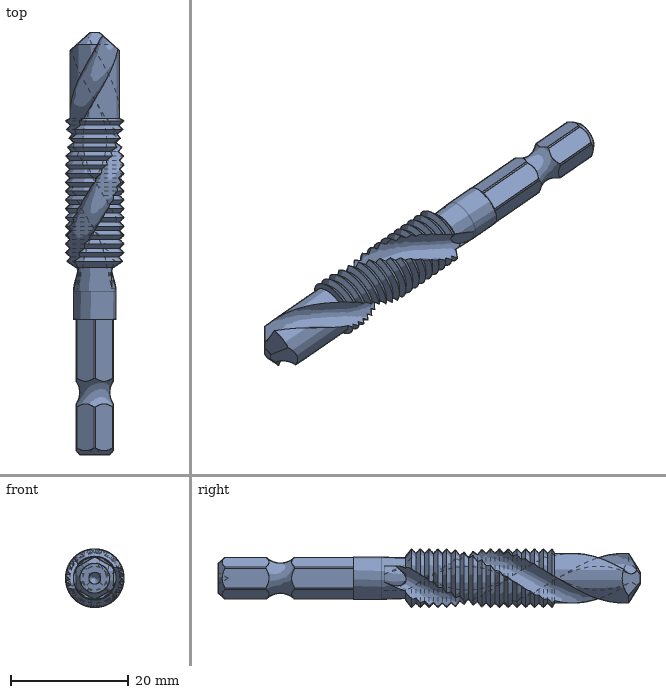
import cadquery as cq
LENGTH = 72.15

HEX_ACROSS_FLATS = 6.35
HEX_CORNER_RADIUS = 3.57
SHANK_END_RADIUS = 2.5
SHANK_CHAMFER = 1.15
GROOVE_START = 8.2
GROOVE_END = 13.05
GROOVE_RADIUS = 2.6
HEX_END = 23.15

CENTRE_HOLE_RADIUS = 1.0
CENTRE_HOLE_DEPTH = 1.7

COLLAR_RADIUS = 3.64
NECK_START = 27.9
NECK_RADIUS = 3.5

CREST_RADIUS = 5.015
ROOT_RADIUS = 4.25
PITCH = 1.5
CREST_COUNT = 17
THREAD_LEAD_OUT = 0.4
FIRST_CREST = 33.05
THREAD_START = 32.0
THREAD_START_RADIUS = 3.75
THREAD_END = FIRST_CREST + (CREST_COUNT - 1) * PITCH + THREAD_LEAD_OUT

DRILL_RADIUS = 4.25
POINT_HEIGHT = 2.0
POINT_FLAT_RADIUS = 1.0
RELIEF_START = 0.8
RELIEF_SLOPE = 0.9

FLUTE_COUNT = 2
FLUTE_LEAD = 44.7
SIDE_ANGLE = 180
FLUTE_OVERRUN = 1.45
FLUTE_FLOOR_RADIUS = 2.0
FLUTE_MOUTH = 5.5
FLUTE_HALF_WIDTH = 2.5
FLUTE_CROSSING = 53.75
FLUTE_START = LENGTH + FLUTE_OVERRUN
FLUTE_END = 26.9
RUNOUT_TIP = 32.5
RUNOUT_TIP_RADIUS = 1.7
RUNOUT_MIDDLE = (3.4, 29.6)
RUNOUT_WALL_HEIGHT = 2.1


def revolve_about_y(profile):
    return profile.close().revolve(360, (0, 0, 0), (0, 1, 0))


def round_body():
    """Revolved blank with every diameter, the detent groove and the thread ridges."""
    groove_middle = (GROOVE_START + GROOVE_END) / 2
    profile = (
        cq.Workplane("XY")
        .moveTo(0, 0)
        .lineTo(SHANK_END_RADIUS, 0)
        .lineTo(HEX_CORNER_RADIUS, SHANK_CHAMFER)
        .lineTo(HEX_CORNER_RADIUS, GROOVE_START)
        .threePointArc((GROOVE_RADIUS, groove_middle), (HEX_CORNER_RADIUS, GROOVE_END))
        .lineTo(HEX_CORNER_RADIUS, HEX_END)
        .lineTo(COLLAR_RADIUS, HEX_END)
        .lineTo(COLLAR_RADIUS, NECK_START)
        .lineTo(NECK_RADIUS, THREAD_START)
        .lineTo(THREAD_START_RADIUS, THREAD_START)
    )
    for crest in range(CREST_COUNT):
        crest_place = FIRST_CREST + crest * PITCH
        profile = profile.lineTo(CREST_RADIUS, crest_place)
        if crest < CREST_COUNT - 1:
            profile = profile.lineTo(ROOT_RADIUS, crest_place + PITCH / 2)
    profile = (
        profile.lineTo(DRILL_RADIUS, THREAD_END)
        .lineTo(DRILL_RADIUS, LENGTH - POINT_HEIGHT)
        .lineTo(POINT_FLAT_RADIUS, LENGTH)
        .lineTo(0, LENGTH)
    )
    return revolve_about_y(profile)


def hex_waste():
    """Material outside the hexagon along the shank; two flats face along X."""
    hexagon = (
        cq.Workplane("XZ")
        .polygon(6, HEX_ACROSS_FLATS, circumscribed=True)
        .extrude(-HEX_END)
    )
    return cq.Workplane("XZ").circle(CREST_RADIUS).extrude(-HEX_END).cut(hexagon)


def centre_hole():
    profile = cq.Workplane("XY").lineTo(CENTRE_HOLE_RADIUS, 0).lineTo(0, CENTRE_HOLE_DEPTH)
    return revolve_about_y(profile)


def relief(side):
    """Waste beyond the sloping plane on one side of the drill point."""
    reach = CREST_RADIUS
    drop = RELIEF_SLOPE * (reach - RELIEF_START)
    return (
        cq.Workplane("XY")
        .moveTo(side * RELIEF_START, LENGTH)
        .lineTo(side * reach, LENGTH)
        .lineTo(side * reach, LENGTH - drop)
        .close()
        .extrude(reach, both=True)
    )


def flute_waste(start_angle):
    """Twisted round channel that begins just beyond the drill point at the given angle."""
    length = FLUTE_START - FLUTE_END
    channel = (
        cq.Workplane("XZ", origin=(0, FLUTE_START, 0))
        .transformed(rotate=(0, 0, start_angle))
        .moveTo(FLUTE_MOUTH, -FLUTE_HALF_WIDTH)
        .threePointArc((FLUTE_FLOOR_RADIUS, 0), (FLUTE_MOUTH, FLUTE_HALF_WIDTH))
        .close()
    )
    return channel.twistExtrude(length, 360 * length / FLUTE_LEAD)


def runout_core():
    """Solid left standing where the flutes end on the neck.

    A bowl makes the flute floors rise to the neck surface, and a block beside each
    flute gives its trailing edge a straight wall parallel to the part axis.
    """
    core = revolve_about_y(
        cq.Workplane("XY")
        .moveTo(0, FLUTE_END)
        .lineTo(COLLAR_RADIUS, FLUTE_END)
        .threePointArc(RUNOUT_MIDDLE, (RUNOUT_TIP_RADIUS, RUNOUT_TIP))
        .lineTo(0, RUNOUT_TIP)
    )
    block_size = 2 * CREST_RADIUS
    wall = cq.Workplane("XY", origin=(0, THREAD_START - block_size, RUNOUT_WALL_HEIGHT)).box(
        block_size, block_size, block_size, centered=False
    )
    return core.union(wall).union(wall.rotate((0, 0, 0), (0, 1, 0), 180))


first_flute_angle = SIDE_ANGLE - 360 * (FLUTE_START - FLUTE_CROSSING) / FLUTE_LEAD
all_flutes = cq.Workplane("XY")
for flute in range(FLUTE_COUNT):
    flute_angle = first_flute_angle + flute * 360 / FLUTE_COUNT
    all_flutes = all_flutes.add(flute_waste(flute_angle).cut(runout_core()))
all_flutes = all_flutes.combine()

result = round_body().cut(all_flutes).cut(hex_waste()).cut(centre_hole())
for side in (-1, 1):
    result = result.cut(relief(side))